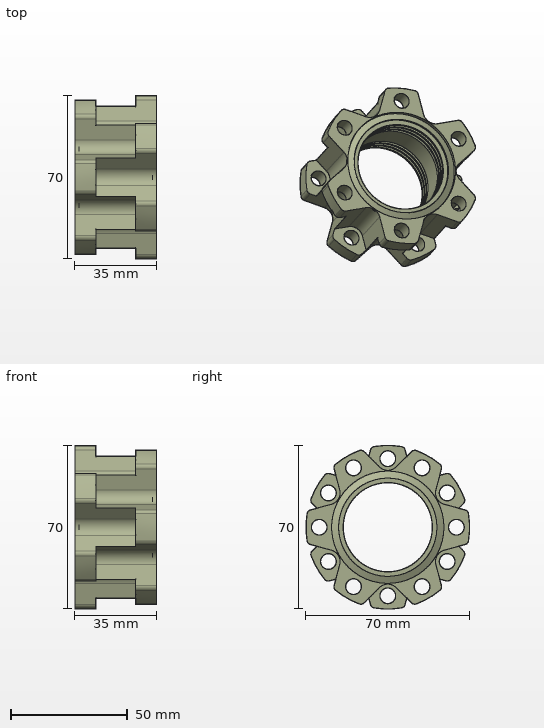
import cadquery as cq
import math

LENGTH = 35.0
OUTER_RADIUS = 35.0
LUG_COUNT = 6
LUG_THICKNESS = 9.0
LUG_CORNER_RADIUS = 2.0
EDGE_TOLERANCE = 0.01

BOLT_CIRCLE_RADIUS = 29.3
BOLT_HOLE_DIAMETER = 6.6
VALLEY_RADIUS = 5.0
VALLEY_HALF_ANGLE = 45.0

BORE_RADIUS = 19.0
RECESS_RADIUS = 24.0
RECESS_DEPTH = 1.85
SEAT_DEPTH = 1.5
LIP_BORE_RADIUS = 21.0
LIP_TAPER = 25.0

GROOVE_COUNT = 3
GROOVE_RADIUS = 0.95
GROOVE_DEPTH = 2 * GROOVE_RADIUS
GROOVE_PITCH = 3.0
FIRST_LAND_WIDTH = 1.1

LUG_PITCH = 360.0 / LUG_COUNT
VALLEY_LENGTH = LENGTH - LUG_THICKNESS
FRONT_LUG_ANGLE = 90.0
BACK_LUG_ANGLE = FRONT_LUG_ANGLE + LUG_PITCH / 2
FIRST_GROOVE_POSITION = SEAT_DEPTH + FIRST_LAND_WIDTH + GROOVE_RADIUS


def disc(radius, start, length):
    return cq.Workplane("YZ", origin=(start, 0, 0)).circle(radius).extrude(length)


def valley_cutter(start):
    """Round-bottomed V opening outward along +Y, drawn around the bolt axis."""
    half_angle = math.radians(VALLEY_HALF_ANGLE)
    tangent_y = BOLT_CIRCLE_RADIUS - VALLEY_RADIUS * math.sin(half_angle)
    tangent_z = VALLEY_RADIUS * math.cos(half_angle)
    root_y = BOLT_CIRCLE_RADIUS - VALLEY_RADIUS
    reach_y = OUTER_RADIUS + VALLEY_RADIUS
    reach_z = tangent_z + (reach_y - tangent_y) * math.tan(half_angle)
    return (
        cq.Workplane("YZ", origin=(start, 0, 0))
        .moveTo(reach_y, -reach_z)
        .lineTo(tangent_y, -tangent_z)
        .threePointArc((root_y, 0), (tangent_y, tangent_z))
        .lineTo(reach_y, reach_z)
        .close()
        .extrude(VALLEY_LENGTH)
    )


def around_axis(shape, first_angle):
    """Copies of a shape at every lug pitch about X."""
    copies = cq.Workplane("YZ")
    for index in range(LUG_COUNT):
        angle = first_angle + index * LUG_PITCH
        copies = copies.add(shape.rotate((0, 0, 0), (1, 0, 0), angle))
    return copies.combine()


def end_recess():
    """Recess in the x = 0 face, leaving a conical lip around the bore."""
    lip_height = (RECESS_RADIUS - LIP_BORE_RADIUS) * math.tan(math.radians(LIP_TAPER))
    return (
        cq.Workplane("XY")
        .lineTo(0, RECESS_RADIUS)
        .lineTo(RECESS_DEPTH, RECESS_RADIUS)
        .lineTo(RECESS_DEPTH - lip_height, LIP_BORE_RADIUS)
        .lineTo(SEAT_DEPTH, LIP_BORE_RADIUS)
        .lineTo(SEAT_DEPTH, 0)
        .close()
        .revolve(360, (0, 0, 0), (1, 0, 0))
    )


def seal_groove(position):
    """Ring-shaped groove with straight sides and a round bottom."""
    side_radius = BORE_RADIUS + GROOVE_DEPTH - GROOVE_RADIUS
    return (
        cq.Workplane("XY")
        .moveTo(position - GROOVE_RADIUS, 0)
        .lineTo(position - GROOVE_RADIUS, side_radius)
        .threePointArc((position, BORE_RADIUS + GROOVE_DEPTH), (position + GROOVE_RADIUS, side_radius))
        .lineTo(position + GROOVE_RADIUS, 0)
        .close()
        .revolve(360, (0, 0, 0), (1, 0, 0))
    )


def other_end(shape):
    """Mirror a shape from the x = 0 end to the opposite end."""
    return shape.mirror("YZ", (LENGTH / 2, 0, 0))


def lug_body():
    """Cylinder with two sets of valleys: each opens one end and stops at the lugs of the other."""
    body = disc(OUTER_RADIUS, 0, LENGTH)
    body = body.cut(around_axis(valley_cutter(0), BACK_LUG_ANGLE))
    return body.cut(around_axis(valley_cutter(LUG_THICKNESS), FRONT_LUG_ANGLE))


def is_lug_corner(edge):
    """True for an axial edge where a lug side meets the outer cylinder."""
    center = edge.Center()
    on_outside = math.hypot(center.y, center.z) > OUTER_RADIUS - EDGE_TOLERANCE
    return on_outside and edge.Length() < LUG_THICKNESS + EDGE_TOLERANCE


def round_lug_corners(body):
    return body.edges("|X").filter(is_lug_corner).fillet(LUG_CORNER_RADIUS)


def drill_bolt_holes(body):
    """Through holes in every lug of both ends."""
    hole = disc(BOLT_HOLE_DIAMETER / 2, 0, LENGTH).translate((0, BOLT_CIRCLE_RADIUS, 0))
    for first_angle in (FRONT_LUG_ANGLE, BACK_LUG_ANGLE):
        body = body.cut(around_axis(hole, first_angle))
    return body


def cut_bore(body):
    """Through bore with a recess and seal grooves at both ends."""
    body = body.cut(disc(BORE_RADIUS, 0, LENGTH))
    end_cutters = [end_recess()]
    for index in range(GROOVE_COUNT):
        end_cutters.append(seal_groove(FIRST_GROOVE_POSITION + index * GROOVE_PITCH))
    for cutter in end_cutters:
        body = body.cut(cutter).cut(other_end(cutter))
    return body


part = lug_body()
part = round_lug_corners(part)
part = drill_bolt_holes(part)
result = cut_bore(part)